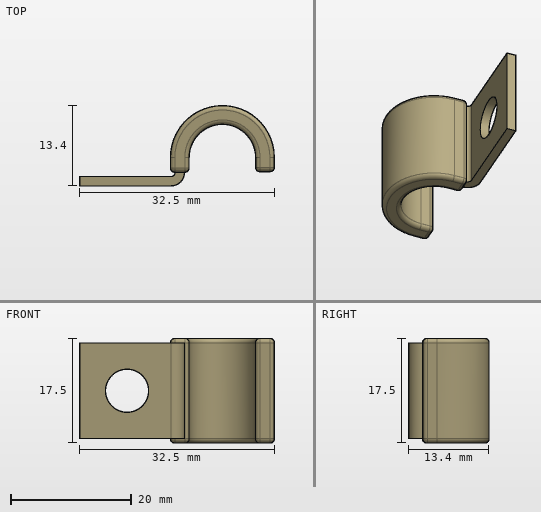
import cadquery as cq

length = 32.45
depth = 13.4
cushion_height = 17.45

strap_thickness = 1.6
strap_height = 15.97
bend_inner_radius = 0.68
hole_diameter = 7.15
hole_from_end = 7.92

cushion_outer_radius = 8.67
cushion_thickness = 3.15
edge_radius = 0.75
left_leg_end_y = 2.27
right_leg_end_y = 2.37

center_x = length - cushion_outer_radius
center_y = depth - cushion_outer_radius
cushion_inner_radius = cushion_outer_radius - cushion_thickness
strap_right_x = center_x - cushion_outer_radius + (cushion_thickness + strap_thickness) / 2
bend_outer_radius = bend_inner_radius + strap_thickness
bend_start_x = strap_right_x - bend_outer_radius


def make_cushion():
    """U-shaped cushion with all its edges rounded except the smooth joins."""
    outer_left = center_x - cushion_outer_radius
    inner_left = center_x - cushion_inner_radius
    inner_right = center_x + cushion_inner_radius
    body = (
        cq.Workplane("XY")
        .moveTo(outer_left, left_leg_end_y)
        .lineTo(outer_left, center_y)
        .threePointArc((center_x, depth), (length, center_y))
        .lineTo(length, right_leg_end_y)
        .lineTo(inner_right, right_leg_end_y)
        .lineTo(inner_right, center_y)
        .threePointArc((center_x, center_y + cushion_inner_radius), (inner_left, center_y))
        .lineTo(inner_left, left_leg_end_y)
        .close()
        .extrude(cushion_height / 2, both=True)
    )
    leg_corners = cq.selectors.BoxSelector(
        (-length, -depth, -cushion_height),
        (2 * length, (center_y + right_leg_end_y) / 2, cushion_height),
    )
    end_corners = body.edges("|Z").edges(leg_corners)
    return end_corners.add(body.faces("|Z").edges()).fillet(edge_radius)


def make_strap():
    """Flat tab with a screw hole, bent up into the left leg of the cushion."""
    strap = (
        cq.Workplane("XY")
        .lineTo(bend_start_x, 0)
        .radiusArc((strap_right_x, bend_outer_radius), -bend_outer_radius)
        .lineTo(strap_right_x, center_y)
        .lineTo(strap_right_x - strap_thickness, center_y)
        .lineTo(strap_right_x - strap_thickness, bend_outer_radius)
        .radiusArc((bend_start_x, strap_thickness), bend_inner_radius)
        .lineTo(0, strap_thickness)
        .close()
        .extrude(strap_height / 2, both=True)
    )
    hole = (
        cq.Workplane("XZ")
        .center(hole_from_end, 0)
        .circle(hole_diameter / 2)
        .extrude(-strap_thickness)
    )
    return strap.cut(hole)


result = make_cushion().union(make_strap())